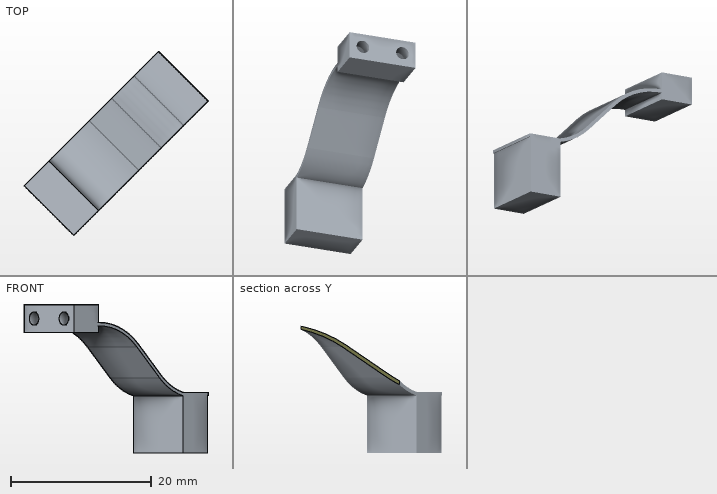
import cadquery as cq
import math

turn_angle = 45.0
width = 10.0

upper_length = 5.0
upper_height = 4.0
upper_top = 21.18
upper_bottom = upper_top - upper_height

hole_diameter = 1.9
hole_spacing = 6.0
hole_depth = 2.0

lower_start = 17.0
lower_length = 5.0
lower_height = 8.2
cap_overhang = 0.12
cap_thickness = 0.45
cap_top = lower_height + cap_thickness

strip_thickness = 0.5
strip_top = 18.64
bend_angle = math.radians(44)
crest_u = 0.26
crest_radius = 11.3
crest_z = strip_top - crest_radius
foot_u = 19.3
foot_radius = 9.6
across_run = (foot_u - crest_u) * math.sin(bend_angle)
foot_rise = (crest_radius + foot_radius - across_run) / math.cos(bend_angle)
foot_z = crest_z + foot_rise


def crest_point(radius, angle):
    """Point on the crest arc, with the angle measured from straight up towards +u."""
    return (crest_u + radius * math.sin(angle), crest_z + radius * math.cos(angle))


def foot_point(radius, angle):
    """Point on the foot arc, with the angle measured from straight down towards -u."""
    return (foot_u - radius * math.sin(angle), foot_z - radius * math.cos(angle))


def block(start_u, end_u, bottom, top):
    """Full-width rectangular block between two stations along the length."""
    base = cq.Workplane("XY", origin=(start_u, 0, bottom))
    return base.box(end_u - start_u, width, top - bottom, centered=(False, True, False))


def crest_arc(sketch, radius, start_angle, end_angle):
    """Draw a stretch of the crest arc on from its start point."""
    middle_angle = (start_angle + end_angle) / 2
    return sketch.threePointArc(crest_point(radius, middle_angle), crest_point(radius, end_angle))


def foot_arc(sketch, radius, start_angle, end_angle):
    """Draw a stretch of the foot arc on from its start point."""
    middle_angle = (start_angle + end_angle) / 2
    return sketch.threePointArc(foot_point(radius, middle_angle), foot_point(radius, end_angle))


def curved_strip():
    """S-shaped strip from the upper block's inner face to a level end inside the lower block."""
    inner_crest_radius = crest_radius - strip_thickness
    outer_foot_radius = foot_radius + strip_thickness
    upper_start = -math.asin(crest_u / crest_radius)
    under_start = -math.asin(crest_u / inner_crest_radius)

    outline = cq.Workplane("XZ", origin=(0, width / 2, 0)).moveTo(*crest_point(crest_radius, upper_start))
    outline = crest_arc(outline, crest_radius, upper_start, bend_angle)
    outline = outline.lineTo(*foot_point(foot_radius, bend_angle))
    outline = foot_arc(outline, foot_radius, bend_angle, 0)
    outline = outline.lineTo(*foot_point(outer_foot_radius, 0))
    outline = foot_arc(outline, outer_foot_radius, 0, bend_angle)
    outline = outline.lineTo(*crest_point(inner_crest_radius, bend_angle))
    outline = crest_arc(outline, inner_crest_radius, bend_angle, under_start)
    return outline.close().extrude(width)


def end_holes():
    """Two blind holes drilled into the outer end of the upper block."""
    return (
        cq.Workplane("YZ", origin=(-upper_length, 0, upper_bottom + upper_height / 2))
        .pushPoints([(-hole_spacing / 2, 0), (hole_spacing / 2, 0)])
        .circle(hole_diameter / 2)
        .extrude(hole_depth)
    )


lower_end = lower_start + lower_length
upper_block = block(-upper_length, 0, upper_bottom, upper_top)
lower_block = block(lower_start, lower_end, 0, lower_height)
cap = block(lower_start, lower_end + cap_overhang, lower_height, cap_top)

body = upper_block.cut(end_holes()).union(curved_strip()).union(lower_block).union(cap)
result = body.clean().rotate((0, 0, 0), (0, 0, 1), turn_angle)